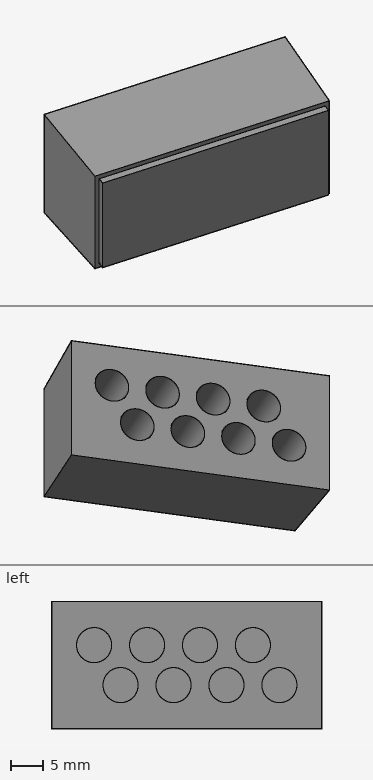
import cadquery as cq

total_depth = 17.7
length = 42.2
height = 19.9

plate_thickness = 1.2
plate_length = 39.55
plate_height = 17.18
body_depth = total_depth - plate_thickness
draft_angle = 2.0

hole_diameter = 5.5
holes_per_row = 4
hole_pitch = 8.27
row_spacing = 6.25
row_stagger = hole_pitch / 2
hole_depth = body_depth


def make_body():
    """Block tapered on all four sides, wide face at X = 0."""
    return cq.Workplane("YZ").rect(length, height).extrude(body_depth, taper=draft_angle)


def make_plate():
    """Straight-sided plate on the narrow end of the body."""
    return (
        cq.Workplane("YZ", origin=(body_depth, 0, 0))
        .rect(plate_length, plate_height)
        .extrude(plate_thickness)
    )


def make_hole_row(y_center, z_center):
    """Evenly spaced hole cylinders along Y."""
    return (
        cq.Workplane("YZ")
        .center(y_center, z_center)
        .rarray(hole_pitch, 0.42, holes_per_row, 1)
        .circle(hole_diameter / 2)
        .extrude(hole_depth)
    )


upper_row = make_hole_row(row_stagger / 2, row_spacing / 2)
lower_row = make_hole_row(-row_stagger / 2, -row_spacing / 2)

result = make_body().union(make_plate()).cut(upper_row).cut(lower_row)